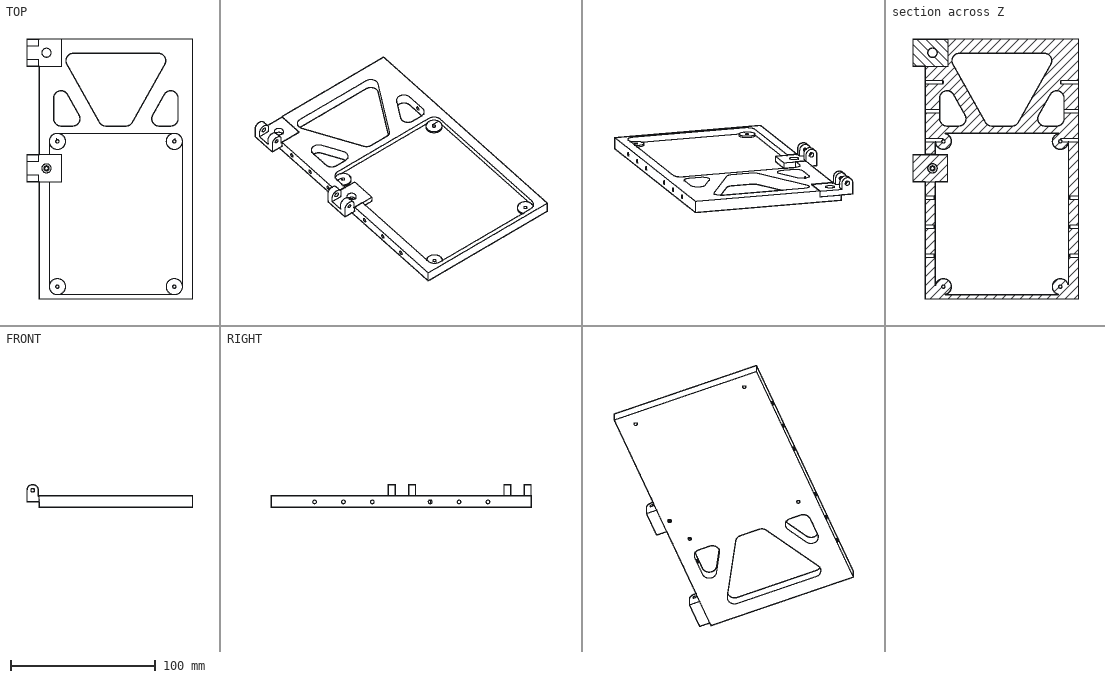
import cadquery as cq
import math

PLATE_WIDTH = 106.0
PLATE_LENGTH = 180.0
PLATE_THICKNESS = 8.1
CENTER_X = PLATE_WIDTH / 2

POCKET_INSET = 7.0
POCKET_REAR = 65.3
POCKET_FRONT = 177.0
POCKET_FLOOR = 4.0
POST_RADIUS = 5.5
POST_TOP = 5.0
POST_HOLE_DIAMETER = 2.2

WINDOW_RADIUS = 5.0
WINDOW_FRONT = 60.3
MAIN_WINDOW_REAR = 10.0
MAIN_WINDOW_REAR_HALF_WIDTH = 38.0
MAIN_WINDOW_FRONT_HALF_WIDTH = 9.9
SIDE_WINDOW_INSET = 10.0
SIDE_WINDOW_FRONT_WIDTH = 21.6

HINGE_COUNT = 2
HINGE_PITCH = 80.0
HINGE_WIDTH = 18.9
HINGE_LEFT = -8.5
HINGE_RIGHT = 15.5
HINGE_BOTTOM = 3.8
HINGE_TOP = 15.8
HINGE_BASE_TOP = 7.7
HINGE_REAR_GAP = 0.2
BASE_HOLE_DIAMETER = 6.3
BASE_HOLE_X = 5.0
LUG_LENGTH = 8.0
LUG_THICKNESS = 4.9
LUG_RADIUS = LUG_LENGTH / 2
REAR_PIN_HOLE_DIAMETER = 3.0
FRONT_PIN_HOLE_DIAMETER = 2.3

SCREW_HOLE_DIAMETER = 2.5
SCREW_COUNTERBORE_DIAMETER = 3.6
SCREW_COUNTERBORE_FLOOR = 2.0

SIDE_HOLE_DIAMETER = 2.5
SIDE_HOLE_Z = 3.8
SIDE_HOLE_FIRST = 30.0
SIDE_HOLE_PITCH = 20.0
DEEP_HOLE_DEPTH = 12.0
DEEP_HOLE_POSITIONS = (0, 1, 2)
SHALLOW_HOLE_DEPTH = 6.0
SHALLOW_HOLE_POSITIONS = (4, 5, 6)
DRILL_POINT_ANGLE = 118


def box(x_range, y_range, z_range):
    size = [end - start for start, end in (x_range, y_range, z_range)]
    corner = (x_range[0], y_range[0], z_range[0])
    return cq.Workplane("XY").box(*size, centered=False).translate(corner)


def upright_cylinder(x, y, diameter, bottom, top):
    return cq.Workplane("XY", origin=(x, y, bottom)).circle(diameter / 2).extrude(top - bottom)


def mirror_across_plate(body):
    return body.mirror("YZ", (CENTER_X, 0, 0))


def hinge_rear(index):
    return -HINGE_REAR_GAP - index * HINGE_PITCH


def window(corners):
    prism = cq.Workplane("XY").polyline(corners).close().extrude(PLATE_THICKNESS)
    return prism.edges("|Z").fillet(WINDOW_RADIUS)


def main_window():
    return window([
        (CENTER_X - MAIN_WINDOW_REAR_HALF_WIDTH, -MAIN_WINDOW_REAR),
        (CENTER_X + MAIN_WINDOW_REAR_HALF_WIDTH, -MAIN_WINDOW_REAR),
        (CENTER_X + MAIN_WINDOW_FRONT_HALF_WIDTH, -WINDOW_FRONT),
        (CENTER_X - MAIN_WINDOW_FRONT_HALF_WIDTH, -WINDOW_FRONT),
    ])


def left_window():
    run = MAIN_WINDOW_REAR_HALF_WIDTH - MAIN_WINDOW_FRONT_HALF_WIDTH
    slope = (WINDOW_FRONT - MAIN_WINDOW_REAR) / run
    return window([
        (SIDE_WINDOW_INSET, -WINDOW_FRONT),
        (SIDE_WINDOW_INSET + SIDE_WINDOW_FRONT_WIDTH, -WINDOW_FRONT),
        (SIDE_WINDOW_INSET, -WINDOW_FRONT + SIDE_WINDOW_FRONT_WIDTH * slope),
    ])


def pocket():
    left = POCKET_INSET
    right = PLATE_WIDTH - POCKET_INSET
    cavity = box((left, right), (-POCKET_FRONT, -POCKET_REAR), (POCKET_FLOOR, PLATE_THICKNESS))
    cavity = cavity.edges("|Z").fillet(POST_RADIUS)
    for x in (left + POST_RADIUS, right - POST_RADIUS):
        for y in (-POCKET_REAR - POST_RADIUS, -POCKET_FRONT + POST_RADIUS):
            cavity = cavity.cut(upright_cylinder(x, y, 2 * POST_RADIUS, POCKET_FLOOR, POST_TOP))
            cavity = cavity.union(upright_cylinder(x, y, POST_HOLE_DIAMETER, 0, PLATE_THICKNESS))
    return cavity


def side_hole_center(position):
    return (0, -SIDE_HOLE_FIRST - position * SIDE_HOLE_PITCH, SIDE_HOLE_Z)


def pointed_side_hole(position, depth, point_length):
    radius = SIDE_HOLE_DIAMETER / 2
    profile = cq.Workplane("XY", origin=side_hole_center(position))
    profile = profile.lineTo(0, radius).lineTo(depth, radius)
    return profile.lineTo(depth + point_length, 0).close().revolve(360, (0, 0, 0), (1, 0, 0))


def flat_side_hole(position, depth):
    center = side_hole_center(position)
    return cq.Workplane("YZ", origin=center).circle(SIDE_HOLE_DIAMETER / 2).extrude(depth)


def left_side_holes():
    point_length = SIDE_HOLE_DIAMETER / 2 / math.tan(math.radians(DRILL_POINT_ANGLE / 2))
    deep = [pointed_side_hole(position, DEEP_HOLE_DEPTH, point_length) for position in DEEP_HOLE_POSITIONS]
    shallow = [flat_side_hole(position, SHALLOW_HOLE_DEPTH) for position in SHALLOW_HOLE_POSITIONS]
    return deep + shallow


def hinge_recess(index):
    rear = hinge_rear(index)
    return box(
        (0, HINGE_RIGHT),
        (rear - HINGE_WIDTH, rear + HINGE_REAR_GAP),
        (HINGE_BOTTOM, PLATE_THICKNESS),
    )


def screw_hole():
    y = hinge_rear(HINGE_COUNT - 1) - HINGE_WIDTH / 2
    shank = upright_cylinder(BASE_HOLE_X, y, SCREW_HOLE_DIAMETER, 0, HINGE_BOTTOM)
    counterbore = upright_cylinder(
        BASE_HOLE_X, y, SCREW_COUNTERBORE_DIAMETER, SCREW_COUNTERBORE_FLOOR, HINGE_BOTTOM
    )
    return shank.union(counterbore)


def make_plate():
    body = box((0, PLATE_WIDTH), (-PLATE_LENGTH, 0), (0, PLATE_THICKNESS))
    body = body.cut(main_window()).cut(pocket()).cut(screw_hole())
    for cutter in [left_window(), *left_side_holes()]:
        body = body.cut(cutter).cut(mirror_across_plate(cutter))
    for index in range(HINGE_COUNT):
        body = body.cut(hinge_recess(index))
    return body


def lug(rear, pin_hole_diameter):
    axis_z = HINGE_TOP - LUG_RADIUS
    outline = (
        cq.Workplane("XZ", origin=(HINGE_LEFT + LUG_RADIUS, rear, 0))
        .moveTo(-LUG_RADIUS, HINGE_BOTTOM)
        .lineTo(LUG_RADIUS, HINGE_BOTTOM)
        .lineTo(LUG_RADIUS, axis_z)
        .threePointArc((0, HINGE_TOP), (-LUG_RADIUS, axis_z))
        .close()
    )
    return outline.moveTo(0, axis_z).circle(pin_hole_diameter / 2).extrude(LUG_THICKNESS)


def make_hinge(rear):
    front = rear - HINGE_WIDTH
    base = box((HINGE_LEFT, HINGE_RIGHT), (front, rear), (HINGE_BOTTOM, HINGE_BASE_TOP))
    rear_lug = lug(rear, REAR_PIN_HOLE_DIAMETER)
    front_lug = lug(front + LUG_THICKNESS, FRONT_PIN_HOLE_DIAMETER)
    middle = rear - HINGE_WIDTH / 2
    hole = upright_cylinder(BASE_HOLE_X, middle, BASE_HOLE_DIAMETER, HINGE_BOTTOM, HINGE_BASE_TOP)
    return base.union(rear_lug).union(front_lug).cut(hole)


plate = make_plate()
hinges = [make_hinge(hinge_rear(index)) for index in range(HINGE_COUNT)]

result = cq.Compound.makeCompound([plate.val(), *[hinge.val() for hinge in hinges]])